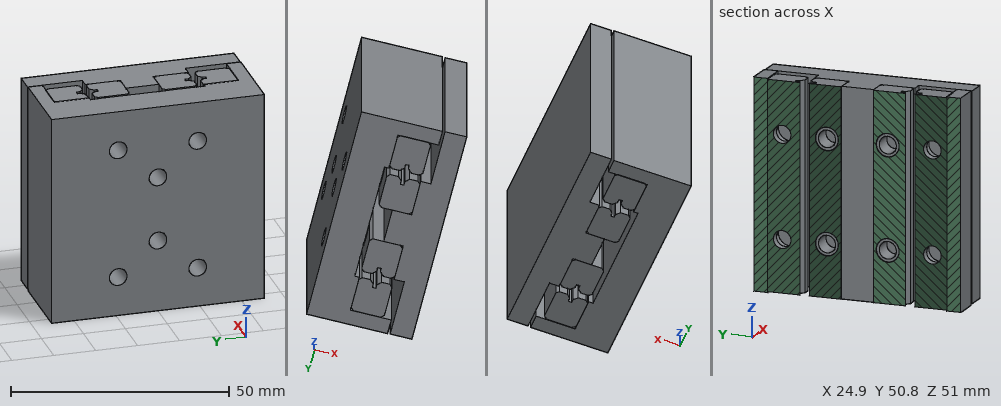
import cadquery as cq

total_depth = 24.9
width = 50.8
housing_length = 51.05
carriage_length = 50.65
rail_length = carriage_length

rail_depth = 7.85
rail_width = 8.25
rail_chamfer = 0.65
vee_half_width = 1.35
slot_half_width = 0.4
groove_depth = 1.75
rail_gap = 1.5

inner_rail_back = 3.95
rail_x = 9.5
inner_rail_front = inner_rail_back + rail_width
outer_rail_front = inner_rail_front + rail_gap
outer_rail_back = outer_rail_front + rail_width

rail_bore_diameter = 4.2
counterbore_diameter = 5.5
counterbore_depth = 3.05
rail_hole_from_back = 3.5
rail_hole_z = 12.5

housing_depth = 19.15
pocket_floor = 8.4
hole_diameter = 4.2
corner_hole_y = 9.5
corner_hole_z = 15.9
middle_hole_z = 7.9

plate_back = 19.75
ledge_half_width = 12.3
boss_face = 12.75


def block(x_start, x_end, y_size, length):
    """Box from x_start to x_end, centred on Y and Z."""
    return cq.Workplane("XY").box(x_end - x_start, y_size, length).translate(((x_start + x_end) / 2, 0, 0))


def make_housing():
    body = block(0, housing_depth, width, housing_length)
    rail_seat = block(rail_x, housing_depth, 2 * outer_rail_back, housing_length)
    relief = block(pocket_floor, rail_x, 2 * outer_rail_front, housing_length)
    corner_holes = [(y, z) for y in (-corner_hole_y, corner_hole_y) for z in (-corner_hole_z, corner_hole_z)]
    middle_holes = [(0, -middle_hole_z), (0, middle_hole_z)]
    holes = (
        cq.Workplane("YZ")
        .pushPoints(corner_holes + middle_holes)
        .circle(hole_diameter / 2)
        .extrude(pocket_floor)
    )
    return body.cut(rail_seat).cut(relief).cut(holes)


def make_carriage():
    plate = block(plate_back, total_depth, width, carriage_length)
    ledge = block(rail_x + rail_depth, plate_back, 2 * ledge_half_width, carriage_length)
    boss = block(boss_face, rail_x + rail_depth, 2 * inner_rail_back, carriage_length)
    return plate.union(ledge).union(boss)


def make_rail():
    """Rail with its back on Y = 0 and its roller groove facing +Y, centred on X = 0."""
    body = (
        cq.Workplane("XY")
        .box(rail_depth, rail_width, rail_length)
        .edges("|Z")
        .chamfer(rail_chamfer)
        .translate((0, rail_width / 2, 0))
    )
    slot_start = rail_width - (vee_half_width - slot_half_width)
    slot_floor = rail_width - groove_depth
    groove = (
        cq.Workplane("XY")
        .workplane(offset=-rail_length / 2)
        .moveTo(-vee_half_width, rail_width)
        .lineTo(-slot_half_width, slot_start)
        .lineTo(-slot_half_width, slot_floor)
        .lineTo(slot_half_width, slot_floor)
        .lineTo(slot_half_width, slot_start)
        .lineTo(vee_half_width, rail_width)
        .close()
        .extrude(rail_length)
    )
    counterbores = rail_holes(counterbore_diameter, counterbore_depth)
    bores = rail_holes(rail_bore_diameter, rail_depth)
    return body.cut(groove).cut(counterbores).cut(bores)


def rail_holes(diameter, depth):
    """Cylinders running depth into the rail from its -X face."""
    return (
        cq.Workplane("YZ", origin=(-rail_depth / 2, 0, 0))
        .pushPoints([(rail_hole_from_back, -rail_hole_z), (rail_hole_from_back, rail_hole_z)])
        .circle(diameter / 2)
        .extrude(depth)
    )


def place_rail(turned_rail, back_y):
    """Solid of an already turned rail, moved so that its back lies at back_y."""
    return turned_rail.translate((rail_x + rail_depth / 2, back_y, 0)).val()


housing = make_housing()
carriage = make_carriage()

origin = (0, 0, 0)
rails = [
    place_rail(make_rail(), inner_rail_back),
    place_rail(make_rail().rotate(origin, (1, 0, 0), 180), -inner_rail_back),
    place_rail(make_rail().rotate(origin, (0, 0, 1), 180), outer_rail_back),
    place_rail(make_rail().rotate(origin, (0, 1, 0), 180), -outer_rail_back),
]

result = cq.Compound.makeCompound([housing.val(), carriage.val(), *rails])